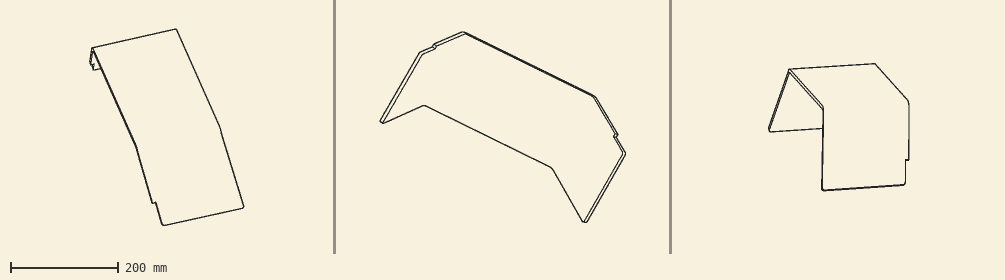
import cadquery as cq
import math

total_width = 437.5
thickness = 7.0
depth = 163.5
flat_half_width = 130.5
bend_radius = 14.0
bend_angle = 60.0

back_offset = 21.0
front_offset = 18.5
notch_start = 104.5
notch_depth = 6.5
end_taper = 1.0
corner_radius = 4.5

bend_cos = math.cos(math.radians(bend_angle))
bend_sin = math.sin(math.radians(bend_angle))
bend_end_x = flat_half_width + bend_radius * bend_sin
bend_drop = bend_radius * (1 - bend_cos)
leg_length = (total_width / 2 - bend_end_x) / bend_cos


def make_top():
    """Flat plate with its upper surface at Z = 0 and its front edge at Y = 0."""
    plate = cq.Workplane("XY", origin=(0, 0, -thickness))
    return plate.box(2 * flat_half_width, depth, thickness, centered=(True, False, False))


def make_bend():
    """Right-hand bend, turning the sheet down about an axis along Y."""
    return (
        cq.Workplane("YZ", origin=(flat_half_width, 0, 0))
        .moveTo(0, -thickness)
        .rect(depth, thickness, centered=False)
        .revolve(bend_angle, (0, -bend_radius), (1, -bend_radius))
    )


def make_leg():
    """Right-hand leg: local x runs down the leg, local y is the part's Y."""
    leg_plane = cq.Plane(
        origin=(bend_end_x, 0, -bend_drop),
        xDir=(bend_cos, 0, -bend_sin),
        normal=(bend_sin, 0, bend_cos),
    )
    front_slope = front_offset / leg_length
    notch_y = front_slope * notch_start
    edge_angle = math.atan(front_slope)
    shoulder_x = notch_start - notch_depth * math.sin(edge_angle)
    shoulder_y = notch_y + notch_depth * math.cos(edge_angle)
    end_front_x = leg_length - end_taper
    end_front_y = shoulder_y + front_slope * (end_front_x - shoulder_x)
    outline = [
        (0, 0),
        (notch_start, notch_y),
        (shoulder_x, shoulder_y),
        (end_front_x, end_front_y),
        (leg_length, depth + back_offset),
        (0, depth),
    ]
    leg = cq.Workplane(leg_plane).polyline(outline).close().extrude(-thickness)
    end_face = leg.faces(cq.selectors.CenterNthSelector(leg_plane.xDir, -1))
    return end_face.edges(cq.selectors.ParallelDirSelector(leg_plane.zDir)).fillet(corner_radius)


right_side = make_bend().union(make_leg())
result = make_top().union(right_side).union(right_side.mirror("YZ"))
result = result.translate((0, -depth / 2, 0))